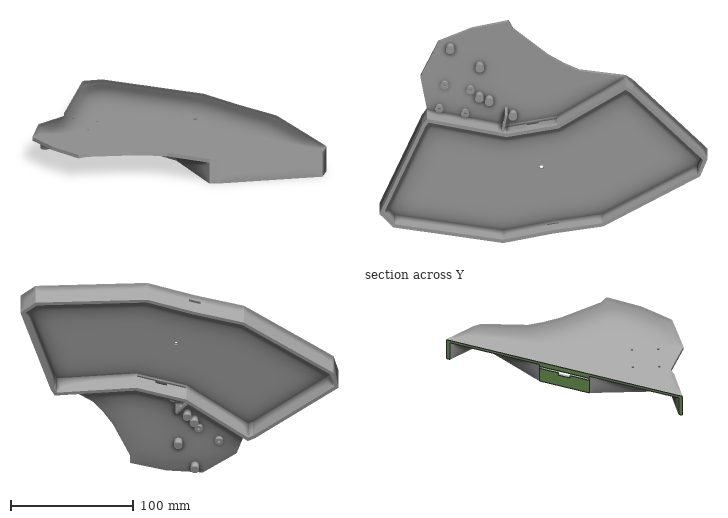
import cadquery as cq
import math

WIDTH = 272.7
HEIGHT = 21.0
PLATE_THICKNESS = 3.0
WALL_THICKNESS = 3.0
PLATE_UNDERSIDE = HEIGHT - PLATE_THICKNESS
HALF_WIDTH = WIDTH / 2

BACK_MIDDLE = (0.0, 92.7)
BACK_CORNER = (41.5, 93.8)
SHOULDER = (127.5, 63.5)
SIDE_TIP = (HALF_WIDTH, 49.5)
SIDE_FOOT = (87.5, -23.0)
FRONT_CORNER = (82.5, -27.8)

FRONT_SLANT = 22.0
MIDDLE_HALF_WIDTH = 21.0
SLANT_RATE = math.tan(math.radians(FRONT_SLANT))
MIDDLE_Y = FRONT_CORNER[1] + (FRONT_CORNER[0] - MIDDLE_HALF_WIDTH) * SLANT_RATE

TONGUE_OUTLINE = [
    (-82.5, -58.0),
    (-62.5, -86.2),
    (-33.3, -93.0),
    (-2.5, -94.0),
    (-0.3, -86.5),
    (23.7, -57.8),
    (35.5, -47.5),
    (46.0, -39.8),
]

SILL_HEIGHT = 4.4
PANEL_RECESS = 0.8
SLIT_BOTTOM = 14.2
SLIT_TOP = 15.8
WINDOW_LEFT = -4.5
WINDOW_RIGHT = 5.2
WINDOW_BOTTOM = 11.7

CENTRE_HOLE_Y = 40.5
CENTRE_HOLE_DIAMETER = 3.5
STANDOFF_CENTRE = (-58.4, -33.8)
STANDOFF_SPACING = 21.5
STANDOFF_TURN = 22.0
STANDOFF_DIAMETER = 6.8
STANDOFF_LENGTH = 3.0
SCREW_HOLE_DIAMETER = 2.1
PEG_DIAMETER = 7.0
PEG_LENGTH = 6.3
PEG_CENTRES = [
    (-53.7, -80.2),
    (-33.0, -59.5),
    (-38.2, -32.7),
    (-30.8, -28.0),
    (-14.2, -11.7),
]

TAB_ROOT_X = -25.0
TAB_REACH = 15.3
TAB_THICKNESS = 2.0
TAB_BOTTOM = 2.0
TAB_HOLE_REACH = 7.4
TAB_HOLE_HEIGHT = 4.5
TAB_HOLE_DIAMETER = 3.5


def mirrored(point):
    return (-point[0], point[1])


def fan_back():
    """Corners of the fan from its left front corner, round the back, to the right one."""
    right = [BACK_CORNER, SHOULDER, SIDE_TIP, SIDE_FOOT, FRONT_CORNER]
    left = [mirrored(point) for point in reversed(right)]
    return left + [BACK_MIDDLE] + right


def cover_plate():
    outline = fan_back() + TONGUE_OUTLINE[::-1]
    underside = cq.Workplane("XY").workplane(offset=PLATE_UNDERSIDE)
    return underside.polyline(outline).close().extrude(PLATE_THICKNESS)


def box_between(x_range, y_range, z_range):
    sizes = [high - low for low, high in (x_range, y_range, z_range)]
    corner = (x_range[0], y_range[0], z_range[0])
    return cq.Workplane("XY").box(*sizes, centered=False).translate(corner)


def housing():
    """Ring of walls under the plate, open at the bottom."""
    outline = fan_back() + [(MIDDLE_HALF_WIDTH, MIDDLE_Y), (-MIDDLE_HALF_WIDTH, MIDDLE_Y)]
    block = cq.Workplane("XY").polyline(outline).close().extrude(PLATE_UNDERSIDE)
    cavity = (
        cq.Workplane("XY")
        .polyline(outline)
        .close()
        .offset2D(-WALL_THICKNESS, "intersection")
        .extrude(PLATE_UNDERSIDE)
    )
    walls = block.cut(cavity)

    middle = (-MIDDLE_HALF_WIDTH, MIDDLE_HALF_WIDTH)
    recess = box_between(middle, (MIDDLE_Y, MIDDLE_Y + PANEL_RECESS), (SILL_HEIGHT, SLIT_TOP))
    slit = box_between(middle, (MIDDLE_Y, MIDDLE_Y + WALL_THICKNESS), (SLIT_BOTTOM, SLIT_TOP))
    window = box_between(
        (WINDOW_LEFT, WINDOW_RIGHT), (MIDDLE_Y, BACK_CORNER[1]), (WINDOW_BOTTOM, SLIT_BOTTOM)
    )
    return walls.cut(recess).cut(slit).cut(window)


def drilled_tab():
    """Tab hanging from the plate, built along -Y from its root and turned to meet the wall squarely."""
    root_y = MIDDLE_Y + (TAB_ROOT_X + MIDDLE_HALF_WIDTH) * SLANT_RATE
    tab = box_between(
        (0, TAB_THICKNESS), (-TAB_REACH, WALL_THICKNESS / 2), (TAB_BOTTOM, PLATE_UNDERSIDE)
    )
    hole = (
        cq.Workplane("YZ")
        .center(-TAB_HOLE_REACH, TAB_HOLE_HEIGHT)
        .circle(TAB_HOLE_DIAMETER / 2)
        .extrude(TAB_THICKNESS)
    )
    return tab.cut(hole).rotate((0, 0, 0), (0, 0, 1), FRONT_SLANT).translate((TAB_ROOT_X, root_y, 0))


def standoff_centres():
    """Corners of a turned square."""
    radius = STANDOFF_SPACING / math.sqrt(2)
    angles = [math.radians(STANDOFF_TURN + 45 + 90 * quarter) for quarter in range(4)]
    return [
        (STANDOFF_CENTRE[0] + radius * math.cos(angle), STANDOFF_CENTRE[1] + radius * math.sin(angle))
        for angle in angles
    ]


def hanging_posts(centres, diameter, length):
    underside = cq.Workplane("XY").workplane(offset=PLATE_UNDERSIDE)
    return underside.pushPoints(centres).circle(diameter / 2).extrude(-length)


def vertical_holes(centres, diameter):
    return cq.Workplane("XY").pushPoints(centres).circle(diameter / 2).extrude(HEIGHT)


result = (
    cover_plate()
    .union(housing())
    .union(drilled_tab())
    .union(hanging_posts(standoff_centres(), STANDOFF_DIAMETER, STANDOFF_LENGTH))
    .union(hanging_posts(PEG_CENTRES, PEG_DIAMETER, PEG_LENGTH))
    .cut(vertical_holes(standoff_centres(), SCREW_HOLE_DIAMETER))
    .cut(vertical_holes([(0, CENTRE_HOLE_Y)], CENTRE_HOLE_DIAMETER))
)